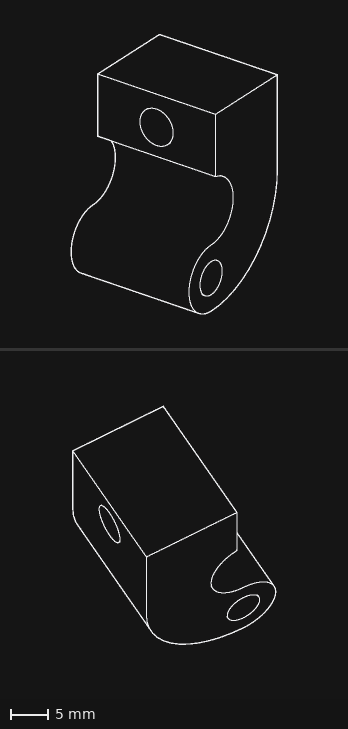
import cadquery as cq
import math

width = 19.5
outer_radius = 15.0
throat_radius = 5.0
throat_center_to_top = 14.3
front_face_offset = 1.0
pivot_hole_diameter = 5.0
screw_hole_diameter = 5.5
screw_hole_below_top = 5.0

tip_radius = (outer_radius - throat_radius) / 2
pivot_z = -(throat_radius + tip_radius)
screw_hole_z = throat_center_to_top - screw_hole_below_top


def hook_body():
    """Block running into a quarter-round hook with a rounded tip, extruded along X."""
    front_y = front_face_offset
    throat_top_z = math.sqrt(throat_radius**2 - front_y**2)
    diagonal = math.sqrt(0.5)
    return (
        cq.Workplane("YZ")
        .moveTo(front_y, throat_center_to_top)
        .lineTo(outer_radius, throat_center_to_top)
        .lineTo(outer_radius, 0)
        .threePointArc((outer_radius * diagonal, -outer_radius * diagonal), (0, -outer_radius))
        .threePointArc((-tip_radius, pivot_z), (0, -throat_radius))
        .threePointArc((throat_radius, 0), (front_y, throat_top_z))
        .close()
        .extrude(width / 2, both=True)
    )


def pivot_hole():
    """Hole along X through the rounded tip, concentric with it."""
    return (
        cq.Workplane("YZ")
        .center(0, pivot_z)
        .circle(pivot_hole_diameter / 2)
        .extrude(width / 2, both=True)
    )


def screw_hole():
    """Hole along Y through the block, centred across the width."""
    return (
        cq.Workplane("XZ")
        .center(0, screw_hole_z)
        .circle(screw_hole_diameter / 2)
        .extrude(-outer_radius)
    )


result = hook_body().cut(pivot_hole()).cut(screw_hole())